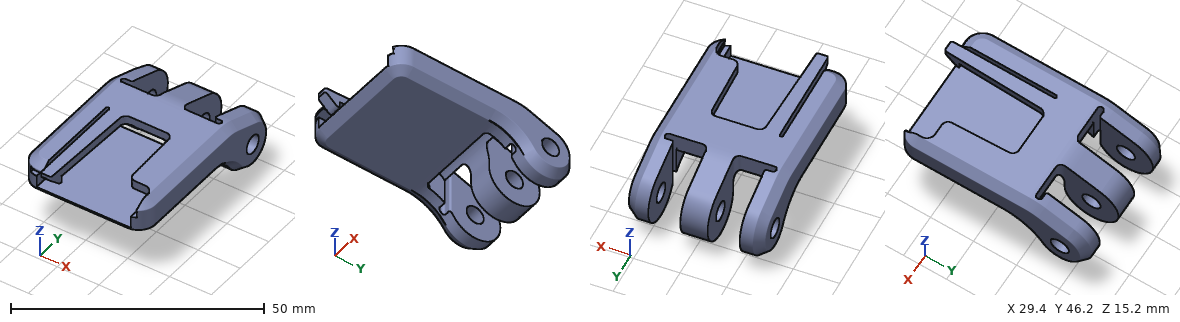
import cadquery as cq
import math


width = 29.4
plate_height = 8.0
corner_radius = 3.95
chamfer_side = 2.05
chamfer_profile = 1.5
plate_joint_y = 18.45
rim_fillet = 0.2

barrel_radius = 6.28
barrel_y = 37.9
barrel_z = -0.95
hole_radius = 2.1
bend_angle = math.radians(19.5)
bend_radius = 11.3
throat_radius = 10.0

tab_half_width = 2.95
inner_half_width = 9.85
notch_y = 30.35
relief_width = 1.35
relief_half_span = 11.95
notch_fillet = 1.3
relief_fillet = 0.6
arm_corner_fillet = 0.45

floor_top = 1.95
floor_end_y = 25.6
floor_end_round = 1.1
floor_corner_fillet = 1.0
skin_underside = 5.95
cavity_round = 5.3

rail_end_y = 25.4
left_rail_x = -10.95
right_rail_x = 11.5
groove_half_width = 12.65
groove_bottom = 4.7

bar_left_x = -8.68
bar_slit_width = 0.75
bar_slit_end_fillet = 0.3
bar_tip_y = -2.0
bar_tip_height = 1.0
bar_tip_fillet = 0.45
bar_end_root_y = corner_radius
hook_slope = math.radians(42)
hook_nose_radius = 1.6
hook_bottom = 4.4
window_back_y = 22.25
window_left_back_x = -5.25
window_left_front_x = -6.05
window_right_back_x = 6.28
window_right_front_x = 6.8
window_step_y = 6.35
window_right_x = 12.55
window_fillet = 1.48
window_front_fillet = 2.0

beyond = 23.08


def box(x0, x1, y0, y1, z0, z1):
    """Block between the given limits on each axis."""
    return cq.Workplane("XY").box(x1 - x0, y1 - y0, z1 - z0, centered=False).translate((x0, y0, z0))


def side_prism(profile, x0, x1):
    """Extrude a closed YZ profile from x0 to x1."""
    return profile.extrude(x1 - x0).translate((x0, 0, 0))


def make_plate():
    """Front part: rounded corners, chamfered all round at top and bottom."""
    taper = math.degrees(math.atan(chamfer_side / chamfer_profile))
    wall_height = plate_height - 2 * chamfer_profile
    length = plate_joint_y + 4 * corner_radius

    def outline(z):
        rounded = (
            cq.Sketch().push([(0, length / 2)]).rect(width, length).reset().vertices().fillet(corner_radius)
        )
        return cq.Workplane("XY", origin=(0, 0, z)).placeSketch(rounded)

    top = outline(plate_height - chamfer_profile).extrude(chamfer_profile, taper=taper)
    bottom = outline(chamfer_profile).extrude(-chamfer_profile, taper=taper)
    plate = outline(chamfer_profile).extrude(wall_height).union(top).union(bottom)
    return plate.intersect(box(-width, width, -beyond, plate_joint_y, -beyond, beyond))


def arm_profile(x):
    """YZ outline of the bent arm with the barrel at its end, drawn at the given x."""
    sin_b = math.sin(bend_angle)
    cos_b = math.cos(bend_angle)
    slope_end = (barrel_y + barrel_radius * sin_b, barrel_z + barrel_radius * cos_b)
    bend_corner_y = slope_end[0] - (plate_height - slope_end[1]) / math.tan(bend_angle)
    bend_start_y = bend_corner_y - bend_radius * math.tan(bend_angle / 2)
    bend_z = plate_height - bend_radius

    def on_bend(angle):
        return (bend_start_y + bend_radius * math.sin(angle), bend_z + bend_radius * math.cos(angle))

    centre_gap = throat_radius + barrel_radius
    throat_angle = math.asin((throat_radius + barrel_z) / centre_gap)
    barrel_end_y = barrel_radius * math.cos(throat_angle)
    barrel_end_z = barrel_radius * math.sin(throat_angle)
    throat_y = barrel_y - centre_gap * math.cos(throat_angle)

    def on_throat(angle):
        return (throat_y + throat_radius * math.cos(angle), throat_radius * (math.sin(angle) - 1))

    return (
        cq.Workplane("YZ", origin=(x, 0, 0))
        .moveTo(plate_joint_y - corner_radius, plate_height)
        .lineTo(bend_start_y, plate_height)
        .threePointArc(on_bend(bend_angle / 2), on_bend(bend_angle))
        .lineTo(*slope_end)
        .threePointArc(
            (barrel_y + barrel_end_y, barrel_z - barrel_end_z),
            (barrel_y - barrel_end_y, barrel_z - barrel_end_z),
        )
        .threePointArc(on_throat((throat_angle + math.pi / 2) / 2), (throat_y, 0))
        .lineTo(plate_joint_y - corner_radius, 0)
        .close()
    )


def make_arm():
    """Rear part: bent profile with chamfered rims on both outer walls."""
    taper = math.degrees(math.atan(chamfer_profile / chamfer_side))
    core_half = width / 2 - chamfer_side
    arm = arm_profile(-core_half).extrude(2 * core_half)
    arm = arm.union(arm_profile(core_half).extrude(chamfer_side, taper=taper))
    arm = arm.union(arm_profile(-core_half).extrude(-chamfer_side, taper=taper))
    return arm.intersect(box(-width, width, plate_joint_y, 3 * beyond, -beyond, beyond))


def cavity():
    """Space above the floor, open at the front, turning down behind the floor to the middle tab."""
    tab_front_y = barrel_y - barrel_radius
    round_y = tab_front_y - cavity_round
    round_z = skin_underside - cavity_round
    diagonal = math.sqrt(0.5)
    profile = (
        cq.Workplane("YZ")
        .moveTo(-beyond, floor_top)
        .lineTo(floor_end_y, floor_top)
        .lineTo(floor_end_y, -beyond)
        .lineTo(barrel_y, -beyond)
        .lineTo(barrel_y, barrel_z - barrel_radius)
        .threePointArc(
            (barrel_y - barrel_radius * diagonal, barrel_z - barrel_radius * diagonal),
            (tab_front_y, barrel_z),
        )
        .lineTo(tab_front_y, round_z)
        .threePointArc(
            (round_y + cavity_round * diagonal, round_z + cavity_round * diagonal),
            (round_y, skin_underside),
        )
        .lineTo(-beyond, skin_underside)
        .close()
    )
    space = side_prism(profile, -inner_half_width, inner_half_width)
    return space.cut(floor_corner(1)).cut(floor_corner(-1))


def floor_corner(side):
    """Concave round between the rear edge of the floor and one side arm."""
    corner_x = side * inner_half_width
    centre = (corner_x - side * floor_corner_fillet, floor_end_y + floor_corner_fillet)
    middle = floor_corner_fillet * math.sqrt(0.5)
    return (
        cq.Workplane("XY", origin=(0, 0, -2 * beyond))
        .moveTo(corner_x, floor_end_y)
        .lineTo(centre[0], floor_end_y)
        .threePointArc((centre[0] + side * middle, centre[1] - middle), (corner_x, centre[1]))
        .close()
        .extrude(2 * beyond + floor_top)
    )


def round_floor_end(body):
    """Round the upper rear edge of the floor, including its two corners."""
    rear_edge = cq.selectors.NearestToPointSelector((0, floor_end_y, floor_top))
    return body.edges(rear_edge).fillet(floor_end_round)


def rail_grooves():
    """Wider front stretch of the cavity, with a groove below the skin on each side."""
    channel = box(left_rail_x, right_rail_x, -beyond, rail_end_y, floor_top, skin_underside)
    groove = box(-groove_half_width, groove_half_width, -beyond, rail_end_y, groove_bottom, skin_underside)
    return channel.union(groove)


def tab_notch(side):
    """Gap between the middle tab and one side arm, with a relief slot into the arm."""
    relief_y = notch_y + relief_width
    points = [
        (tab_half_width, notch_y),
        (relief_half_span, notch_y),
        (relief_half_span, relief_y),
        (inner_half_width, relief_y),
        (inner_half_width, 3 * beyond),
        (tab_half_width, 3 * beyond),
    ]
    notch = (
        cq.Workplane("XY", origin=(0, 0, -beyond))
        .polyline([(side * x, y) for x, y in points])
        .close()
        .extrude(2 * beyond)
    )

    def fillet_at(solid, x, y, radius):
        """Fillet the upright edge at the given place."""
        reach = 0.05
        picker = cq.selectors.BoxSelector(
            (side * x - reach, y - reach, -beyond), (side * x + reach, y + reach, beyond)
        )
        return solid.edges("|Z").edges(picker).fillet(radius)

    notch = fillet_at(notch, tab_half_width, notch_y, notch_fillet)
    notch = fillet_at(notch, relief_half_span, notch_y, relief_fillet)
    notch = fillet_at(notch, relief_half_span, relief_y, relief_fillet)
    return fillet_at(notch, inner_half_width, relief_y, arm_corner_fillet)


def window_left_x(y):
    """X of the slanted left edge of the window, which is the right edge of the spring bar."""
    slope = (window_left_back_x - window_left_front_x) / window_back_y
    return window_left_front_x + slope * y


def window():
    """Opening in the top skin right of the spring bar, widening in a step towards the front."""
    points = [
        (window_left_x(-beyond), -beyond),
        (window_left_x(window_back_y), window_back_y),
        (window_right_back_x, window_back_y),
        (window_right_front_x, window_step_y),
        (window_right_x, window_step_y),
        (window_right_x, -beyond),
    ]
    opening = (
        cq.Workplane("XY", origin=(0, 0, groove_bottom))
        .polyline(points)
        .close()
        .extrude(beyond)
    )
    front_corner_x = (window_right_front_x + window_right_x) / 2
    inner_corners = cq.selectors.BoxSelector((-width, 0, -beyond), (front_corner_x, beyond, 2 * beyond))
    front_corner = cq.selectors.BoxSelector((front_corner_x, 0, -beyond), (width, beyond, 2 * beyond))
    opening = opening.edges("|Z").edges(inner_corners).fillet(window_fillet)
    return opening.edges("|Z").edges(front_corner).fillet(window_front_fillet)


def bar_slit():
    """Narrow slit that frees the left side of the spring bar, round at its end."""
    slit = box(bar_left_x - bar_slit_width, bar_left_x, -beyond, window_back_y, groove_bottom, beyond)
    return slit.edges("|Z and >Y").fillet(bar_slit_end_fillet)


def bar_end():
    """Front end of the spring bar: overhanging tip with a sloped hook below."""
    nose_z = hook_bottom + hook_nose_radius
    slope_top_z = plate_height - bar_tip_height
    slope_end_z = nose_z - hook_nose_radius * math.cos(hook_slope)
    slope_end_y = bar_tip_y + (slope_top_z - slope_end_z) / math.tan(hook_slope)
    nose_y = slope_end_y + hook_nose_radius * math.sin(hook_slope)
    nose_middle = (
        nose_y - hook_nose_radius * math.sin(hook_slope / 2),
        nose_z - hook_nose_radius * math.cos(hook_slope / 2),
    )
    profile = (
        cq.Workplane("YZ")
        .moveTo(bar_tip_y, plate_height)
        .lineTo(bar_tip_y, slope_top_z)
        .lineTo(slope_end_y, slope_end_z)
        .threePointArc(nose_middle, (nose_y, hook_bottom))
        .lineTo(nose_y, skin_underside)
        .lineTo(bar_end_root_y, skin_underside)
        .lineTo(bar_end_root_y, plate_height)
        .close()
    )
    plan = (
        cq.Workplane("XY")
        .polyline(
            [
                (bar_left_x, bar_tip_y),
                (window_left_x(bar_tip_y), bar_tip_y),
                (window_left_x(bar_end_root_y), bar_end_root_y),
                (bar_left_x, bar_end_root_y),
            ]
        )
        .close()
        .extrude(plate_height)
        .edges("|Z and <Y")
        .fillet(bar_tip_fillet)
    )
    return side_prism(profile, -width, width).intersect(plan)


def hinge_hole():
    """Pin hole through all three tabs."""
    circle = cq.Workplane("YZ").center(barrel_y, barrel_z).circle(hole_radius)
    return side_prism(circle, -width, width)


def make_body():
    """Plate and arm joined, with the rims of the chamfer softened all the way round."""
    body = make_plate().union(make_arm()).clean()
    rims = body.edges("|Y")
    return rims.fillet(rim_fillet)


result = make_body()
result = round_floor_end(result.cut(cavity())).cut(rail_grooves())
for side in (-1, 1):
    result = result.cut(tab_notch(side))
result = result.cut(window()).cut(bar_slit()).cut(hinge_hole())
result = result.union(bar_end()).clean()